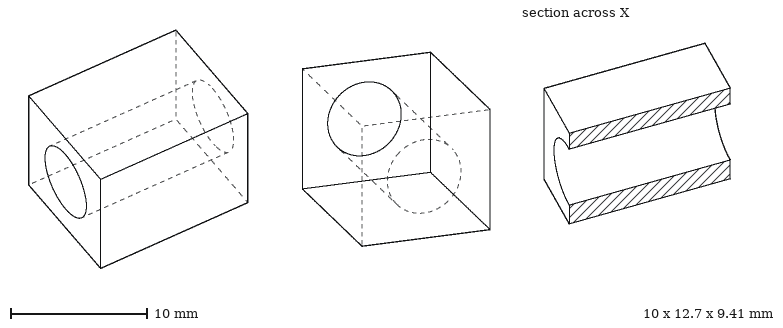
import cadquery as cq

width_x = 10.01
length_y = 12.7
height_z = 9.41

bore_diameter = 5.75
bore_offset_x = 0.15
bore_offset_z = 0.15


def make_block():
    """Plain rectangular block centred on the origin."""
    return cq.Workplane("XY").box(width_x, length_y, height_z)


def make_bore():
    """Cylinder running the full length of the block in Y."""
    return (
        cq.Workplane("XZ")
        .center(bore_offset_x, bore_offset_z)
        .circle(bore_diameter / 2)
        .extrude(length_y / 2, both=True)
    )


result = make_block().cut(make_bore())